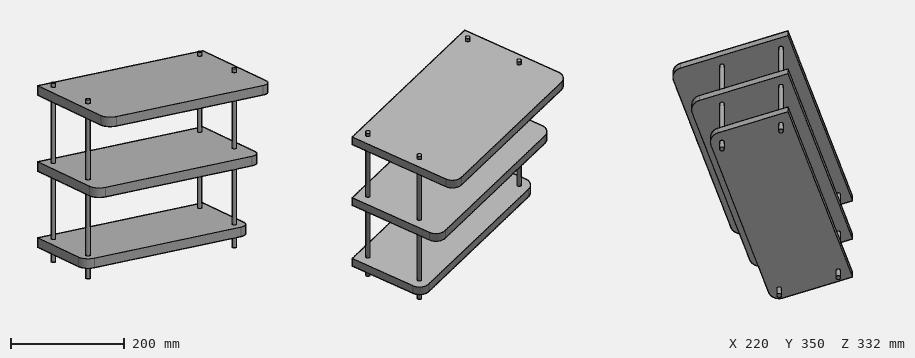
import cadquery as cq

shelf_width = 350.0
shelf_thickness = 18.0
shelf_depths = [150.0, 185.0, 220.0]
corner_radius = 20.0

rod_diameter = 8.0
rod_length = 332.0
rod_edge_inset = 20.0
rod_depth_spacing = 110.0
rod_foot_length = 25.0
rod_top_length = 7.0

shelf_pitch = (rod_length - rod_foot_length - rod_top_length - shelf_thickness) / (len(shelf_depths) - 1)
rod_y = shelf_width / 2 - rod_edge_inset
rod_positions = [
    (x, y)
    for x in (rod_edge_inset, rod_edge_inset + rod_depth_spacing)
    for y in (-rod_y, rod_y)
]


def make_shelf(depth, bottom_z):
    """Board with two rounded front corners and a close-fitting hole for each rod."""
    board = (
        cq.Workplane("XY")
        .workplane(offset=bottom_z)
        .rect(depth, shelf_width)
        .extrude(shelf_thickness)
        .translate((depth / 2, 0, 0))
        .edges("|Z and >X")
        .fillet(corner_radius)
    )
    rod_holes = (
        cq.Workplane("XY")
        .workplane(offset=bottom_z)
        .pushPoints(rod_positions)
        .circle(rod_diameter / 2)
        .extrude(shelf_thickness)
    )
    return board.cut(rod_holes)


def make_rod(x, y):
    """Plain round rod standing on Z = 0."""
    return cq.Workplane("XY").center(x, y).circle(rod_diameter / 2).extrude(rod_length)


shelves = [
    make_shelf(depth, rod_foot_length + level * shelf_pitch)
    for level, depth in enumerate(shelf_depths)
]
rods = [make_rod(x, y) for x, y in rod_positions]

result = cq.Compound.makeCompound([body.solids().val() for body in shelves + rods])